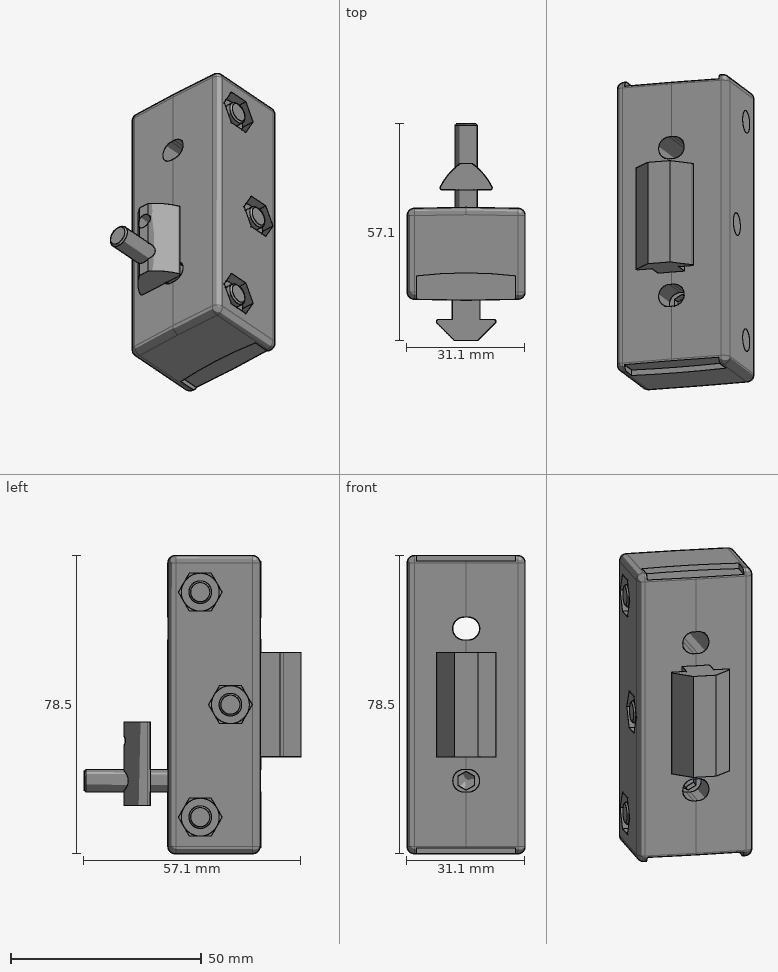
import cadquery as cq
import math

WIDTH = 31.1
HEIGHT = 78.5
DEPTH = 24.5
RIDGE_RISE = 0.275
EDGE_RADIUS = 2.0
FRONT_Y = -DEPTH / 2
BACK_Y = DEPTH / 2
SIDE_X = -WIDTH / 2

RECESS_WIDTH = 26.1
RECESS_FLOOR = 1.5
RECESS_SIDE_LENGTH = 6.4
RECESS_MIDDLE_LENGTH = 7.2

SLOT_LENGTH = 7.1
SLOT_HEIGHT = 6.0
SLOT_Z = 20.0

RAIL_LENGTH = 27.5
RAIL_REACH = 10.6
RAIL_STEM_WIDTH = 7.4
RAIL_HEAD_DEPTH = 5.6
RAIL_TIP_WIDTH = 6.1
RAIL_HEAD_WIDTH = RAIL_TIP_WIDTH + 2 * RAIL_HEAD_DEPTH
LIP_RADIUS = 0.55

HEX_SIDES = 6
SHANK_DIAMETER = 6.0
TIP_DIAMETER = 5.0
TIP_CHAMFER = (SHANK_DIAMETER - TIP_DIAMETER) / 2

NUT_FLATS = 10.0
NUT_CORNERS = NUT_FLATS / math.cos(math.pi / HEX_SIDES)
NUT_THICKNESS = 5.0
NUT_SETBACK = 3.0
NUT_COLLAR_DIAMETER = NUT_FLATS
NUT_COLLAR_HEIGHT = 0.5
SCREW_SPREAD_Z = 29.6
REAR_SCREW_Y = 3.7
MIDDLE_SCREW_Y = -4.2
SCREW_PLACES = [
    (REAR_SCREW_Y, SCREW_SPREAD_Z),
    (MIDDLE_SCREW_Y, 0),
    (REAR_SCREW_Y, -SCREW_SPREAD_Z),
]

BOLT_REACH = 22.0
BOLT_Z = -SLOT_Z
BOLT_HEAD_DIAMETER = 10.0
BOLT_HEAD_LENGTH = SHANK_DIAMETER
BOLT_HEAD_FRONT_Y = -BOLT_HEAD_LENGTH / 2
SOCKET_CORNERS = 4.95
SOCKET_TURN = 30
SOCKET_DEPTH = 3.0
SOCKET_CONE_DEPTH = 1.3

CLAMP_LENGTH = 22.05
CLAMP_CENTRE_Z = -15.55
CLAMP_GAP = 4.55
CLAMP_WIDTH = 14.4
CLAMP_THICKNESS = 7.0
CLAMP_TOP_WIDTH = 3.1
CLAMP_FLANK_RADIUS = 16.5
CLAMP_HOLE_DIAMETER = 4.0
CLAMP_HOLE_Z = -9.5


def along_y(y, z):
    """Sketch plane at a given y, with local x along X and the normal along +Y."""
    return cq.Workplane(cq.Plane(origin=(0, y, z), xDir=(1, 0, 0), normal=(0, 1, 0)))


def along_x(x, y, z):
    """Sketch plane at a given x, with local x along Y and the normal along +X."""
    return cq.Workplane(cq.Plane(origin=(x, y, z), xDir=(0, 1, 0), normal=(1, 0, 0)))


def ridged_block():
    """Block with every edge rounded except the two ridges."""
    half_width = WIDTH / 2
    side_y = DEPTH / 2 - RIDGE_RISE
    outline = [
        (-half_width, -side_y),
        (0, FRONT_Y),
        (half_width, -side_y),
        (half_width, side_y),
        (0, BACK_Y),
        (-half_width, side_y),
    ]
    block = cq.Workplane("XY", origin=(0, 0, -HEIGHT / 2)).polyline(outline).close().extrude(HEIGHT)
    upright_corners = block.edges("|Z").edges("<X or >X")
    return upright_corners.fillet(EDGE_RADIUS).faces("|Z").edges().fillet(EDGE_RADIUS)


def end_recess(floor_z):
    """Cutter for one recess, starting at floor_z and RECESS_FLOOR tall."""
    half_width = RECESS_WIDTH / 2
    return (
        cq.Workplane("XY", origin=(0, 0, floor_z))
        .moveTo(-half_width, FRONT_Y)
        .lineTo(half_width, FRONT_Y)
        .lineTo(half_width, FRONT_Y + RECESS_SIDE_LENGTH)
        .threePointArc((0, FRONT_Y + RECESS_MIDDLE_LENGTH), (-half_width, FRONT_Y + RECESS_SIDE_LENGTH))
        .close()
        .extrude(RECESS_FLOOR)
    )


def front_rail():
    """T-shaped rail whose root is sunk to the lowest level of the sloping front."""
    tip_y = FRONT_Y - RAIL_REACH
    head_y = tip_y + RAIL_HEAD_DEPTH
    root_y = FRONT_Y + RIDGE_RISE
    right_half = [
        (RAIL_STEM_WIDTH / 2, root_y),
        (RAIL_STEM_WIDTH / 2, head_y),
        (RAIL_HEAD_WIDTH / 2, head_y),
        (RAIL_TIP_WIDTH / 2, tip_y),
    ]
    left_half = [(-x, y) for x, y in reversed(right_half)]
    base = cq.Workplane("XY", origin=(0, 0, -RAIL_LENGTH / 2))
    rail = base.polyline(right_half + left_half).close().extrude(RAIL_LENGTH)
    return rail.edges("<X or >X").fillet(LIP_RADIUS)


def nut_pocket(y, z):
    depth = NUT_SETBACK + NUT_THICKNESS
    return along_x(SIDE_X, y, z).polygon(HEX_SIDES, NUT_CORNERS).extrude(depth)


def screw_hole(y, z):
    return along_x(SIDE_X, y, z).circle(SHANK_DIAMETER / 2).extrude(WIDTH)


def make_housing():
    housing = ridged_block().union(front_rail())
    housing = housing.cut(end_recess(HEIGHT / 2 - RECESS_FLOOR)).cut(end_recess(-HEIGHT / 2))
    for slot_z in (SLOT_Z, -SLOT_Z):
        housing = housing.cut(along_y(FRONT_Y, slot_z).slot2D(SLOT_LENGTH, SLOT_HEIGHT).extrude(DEPTH))
    for y, z in SCREW_PLACES:
        housing = housing.cut(nut_pocket(y, z)).cut(screw_hole(y, z))
    head_room = along_y(BOLT_HEAD_FRONT_Y, BOLT_Z).circle(BOLT_HEAD_DIAMETER / 2).extrude(BOLT_HEAD_LENGTH)
    return housing.cut(head_room)


def make_screw(y, z):
    """Screw across the housing, its chamfered tip level with the nut side."""
    return along_x(SIDE_X, y, z).circle(SHANK_DIAMETER / 2).extrude(WIDTH).faces("<X").chamfer(TIP_CHAMFER)


def make_nut(y, z):
    """Hexagon nut whose outer face is a low round collar."""
    outer_x = SIDE_X + NUT_SETBACK
    hexagon_length = NUT_THICKNESS - NUT_COLLAR_HEIGHT
    hexagon = along_x(outer_x + NUT_COLLAR_HEIGHT, y, z).polygon(HEX_SIDES, NUT_CORNERS).extrude(hexagon_length)
    collar = along_x(outer_x, y, z).circle(NUT_COLLAR_DIAMETER / 2).extrude(NUT_COLLAR_HEIGHT)
    bore = along_x(outer_x, y, z).circle(SHANK_DIAMETER / 2).extrude(NUT_THICKNESS)
    return hexagon.union(collar).cut(bore)


def hex_socket():
    """Cutter for the hexagon socket, its floor a cone as left by a drill."""
    full_depth = SOCKET_DEPTH + SOCKET_CONE_DEPTH
    hexagon = along_y(BOLT_HEAD_FRONT_Y, BOLT_Z).polygon(HEX_SIDES, SOCKET_CORNERS).extrude(full_depth)
    hexagon = hexagon.rotate((0, 0, BOLT_Z), (0, 1, BOLT_Z), SOCKET_TURN)
    drilled = (
        cq.Workplane("XY", origin=(0, BOLT_HEAD_FRONT_Y, BOLT_Z))
        .polyline([(0, 0), (SOCKET_CORNERS / 2, 0), (SOCKET_CORNERS / 2, SOCKET_DEPTH), (0, full_depth)])
        .close()
        .revolve(360, (0, 0), (0, 1))
    )
    return hexagon.intersect(drilled)


def make_bolt():
    """Socket head bolt that leaves the housing through the lower slot."""
    head = along_y(BOLT_HEAD_FRONT_Y, BOLT_Z).circle(BOLT_HEAD_DIAMETER / 2).extrude(BOLT_HEAD_LENGTH)
    shank_length = BACK_Y + BOLT_REACH - BOLT_HEAD_FRONT_Y
    shank = along_y(BOLT_HEAD_FRONT_Y, BOLT_Z).circle(SHANK_DIAMETER / 2).extrude(shank_length)
    shank = shank.faces(">Y").chamfer(TIP_CHAMFER)
    return head.union(shank).cut(hex_socket())


def make_clamp():
    """Bar with a flat face toward the housing and rounded flanks rising to a narrow flat."""
    base_y = BACK_Y + CLAMP_GAP
    top_y = base_y + CLAMP_THICKNESS
    half_width = CLAMP_WIDTH / 2
    half_top = CLAMP_TOP_WIDTH / 2
    bar = (
        cq.Workplane("XY", origin=(0, 0, CLAMP_CENTRE_Z - CLAMP_LENGTH / 2))
        .moveTo(-half_width, base_y)
        .lineTo(half_width, base_y)
        .radiusArc((half_top, top_y), -CLAMP_FLANK_RADIUS)
        .lineTo(-half_top, top_y)
        .radiusArc((-half_width, base_y), -CLAMP_FLANK_RADIUS)
        .close()
        .extrude(CLAMP_LENGTH)
        .edges("<X or >X")
        .fillet(LIP_RADIUS)
    )
    for diameter, z in ((SHANK_DIAMETER, BOLT_Z), (CLAMP_HOLE_DIAMETER, CLAMP_HOLE_Z)):
        bar = bar.cut(along_y(base_y, z).circle(diameter / 2).extrude(CLAMP_THICKNESS))
    return bar


housing = make_housing()
bolt = make_bolt()
clamp = make_clamp()
screws = [make_screw(y, z).val() for y, z in SCREW_PLACES]
nuts = [make_nut(y, z).val() for y, z in SCREW_PLACES]

result = cq.Compound.makeCompound([housing.val(), bolt.val(), clamp.val(), *screws, *nuts])